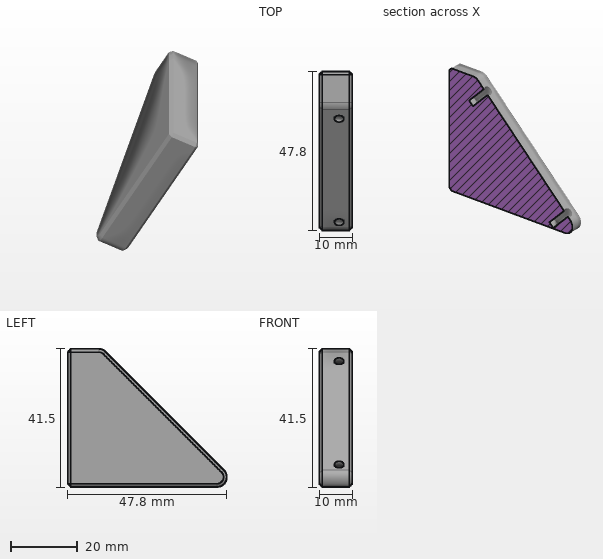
import cadquery as cq
import math

thickness = 10.0
height = 41.5
top_depth = 10.5
base_depth = top_depth + height
corner_radius = 3.0
edge_chamfer = 1.0

hole_diameter = 2.8
hole_depth = 8.0
hole_offset_x = 1.0
hole_heights = (6.75, 37.75)

SLOPE_NORMAL = cq.Vector(0, -math.sqrt(0.5), math.sqrt(0.5))


def make_block():
    """Extrude the side profile, round both ends of the slope and chamfer the rest."""
    profile = [
        (0, 0),
        (-base_depth, 0),
        (-top_depth, height),
        (0, height),
    ]
    block = (
        cq.Workplane("YZ")
        .polyline(profile)
        .close()
        .extrude(thickness / 2, both=True)
    )
    slope_ends = block.edges("|X and (not >Y)")
    block = slope_ends.fillet(corner_radius)
    return block.faces("<X or >X or >Y").edges().chamfer(edge_chamfer)


def make_hole(hole_height):
    """Blind hole entering the sloping face at the given height."""
    entry = cq.Vector(hole_offset_x, hole_height - base_depth, hole_height)
    return cq.Solid.makeCylinder(hole_diameter / 2, hole_depth, entry, -SLOPE_NORMAL)


result = make_block()
for hole_height in hole_heights:
    result = result.cut(cq.Workplane(make_hole(hole_height)))